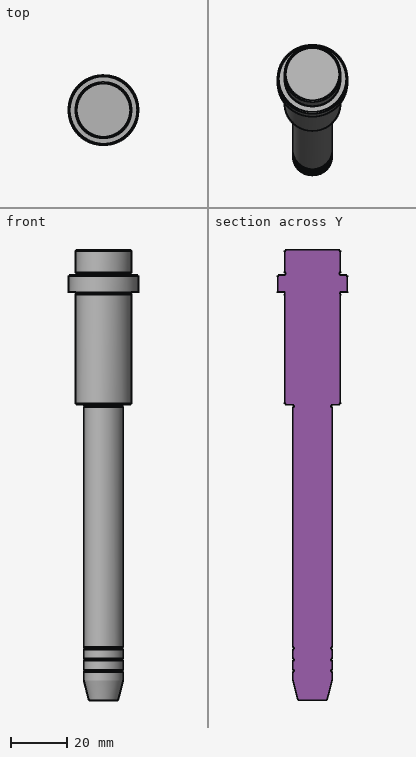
import cadquery as cq

total_length = 160
collar_top = 151.0
collar_bottom = 145.0
body_bottom = 105.0
taper_top = 7.2

collar_diameter = 25.0
body_diameter = 20.0
shaft_diameter = 14.0
taper_end_diameter = 10.4

edge_chamfer = 0.56
tip_fillet = 0.8

groove_width = 1.0
groove_depth = 0.5
collar_relief_depth = 0.2
ring_count = 3
ring_pitch = 4.0
lowest_ring_bottom = 10.0


def cylinder(diameter, bottom, top):
    """Solid cylinder on the Z axis between two heights."""
    return cq.Workplane("XY").workplane(offset=bottom).circle(diameter / 2).extrude(top - bottom)


def groove(diameter, bottom, depth):
    """Ring of material with a V-shaped section to remove from a cylinder of the given diameter."""
    radius = diameter / 2
    return (
        cq.Workplane("XZ")
        .moveTo(radius, bottom)
        .lineTo(radius - depth, bottom + groove_width / 2)
        .lineTo(radius, bottom + groove_width)
        .close()
        .revolve(360, (0, 0, 0), (0, 1, 0))
    )


def tapered_tip():
    """Conical lead-in with a rounded lower edge."""
    cone = (
        cq.Workplane("XY")
        .circle(taper_end_diameter / 2)
        .workplane(offset=taper_top)
        .circle(shaft_diameter / 2)
        .loft(ruled=True)
    )
    return cone.faces("<Z").edges().fillet(tip_fillet)


body = cylinder(body_diameter, body_bottom, total_length).faces("<Z or >Z").edges().chamfer(edge_chamfer)
collar = cylinder(collar_diameter, collar_bottom, collar_top).faces(">Z").edges().chamfer(edge_chamfer)
shaft = cylinder(shaft_diameter, taper_top, body_bottom)
result = tapered_tip().union(shaft).union(body).union(collar)

result = result.cut(groove(body_diameter, collar_top, groove_depth))
result = result.cut(groove(body_diameter, collar_bottom - groove_width, collar_relief_depth))
result = result.cut(groove(shaft_diameter, body_bottom - groove_width, groove_depth))

for ring in range(ring_count):
    ring_bottom = lowest_ring_bottom + ring * ring_pitch
    result = result.cut(groove(shaft_diameter, ring_bottom, groove_depth))